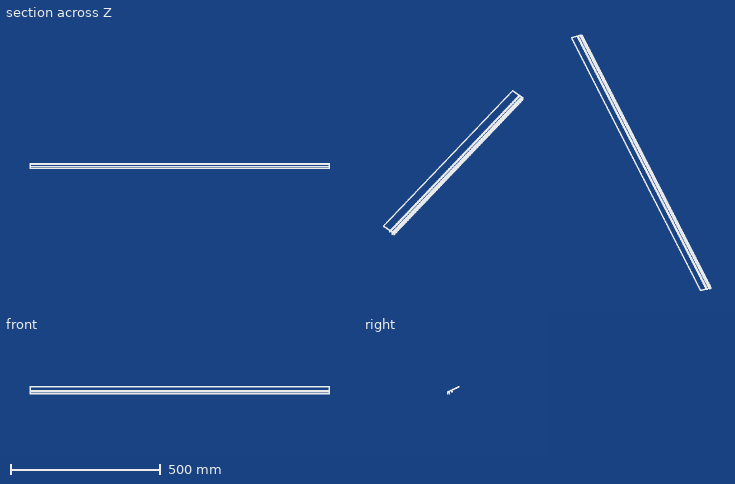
import cadquery as cq
import math

LENGTH = 1000.0
DEPTH = 39.3
HEIGHT = 24.57

SLOPE_ANGLE = math.radians(25.0)
PLATE_WALL = 1.44

LIP_WALL = 0.7
NOSE_CHAMFER = 0.36
LIP_INNER_RADIUS = 1.7

LEG_WALL = 1.55
LEG_BACK_Y = 6.6
LEG_BOTTOM_Z = 0.5

WEB_WALL = 0.89
WEB_BACK_Y = 15.12
FOOT_WALL = 1.0
FOOT_BACK_Y = 17.4
FOOT_BOTTOM_Z = 7.1

REAR_TOP_Y = DEPTH - PLATE_WALL * math.sin(SLOPE_ANGLE)
REAR_BOTTOM_Z = HEIGHT - PLATE_WALL * math.cos(SLOPE_ANGLE)
NOSE_Z = HEIGHT - REAR_TOP_Y * math.tan(SLOPE_ANGLE)


def underside_point(y):
    """Point (y, z) on the plate's lower face at depth y."""
    return y, REAR_BOTTOM_Z - (DEPTH - y) * math.tan(SLOPE_ANGLE)


def section():
    """Closed YZ outline, running from the lip's lower front corner over the plate and back underneath."""
    leg_front_y = LEG_BACK_Y - LEG_WALL
    web_front_y = WEB_BACK_Y - WEB_WALL
    foot_top_z = FOOT_BOTTOM_Z + FOOT_WALL
    plate_top = [(0, 0), (0, NOSE_Z), (REAR_TOP_Y, HEIGHT), (DEPTH, REAR_BOTTOM_Z)]
    hook = [
        underside_point(WEB_BACK_Y),
        (WEB_BACK_Y, foot_top_z),
        (FOOT_BACK_Y, foot_top_z),
        (FOOT_BACK_Y, FOOT_BOTTOM_Z),
        (web_front_y, FOOT_BOTTOM_Z),
        underside_point(web_front_y),
    ]
    leg = [
        underside_point(LEG_BACK_Y),
        (LEG_BACK_Y, LEG_BOTTOM_Z),
        (leg_front_y, LEG_BOTTOM_Z),
        underside_point(leg_front_y),
    ]
    lip_inside = [underside_point(LIP_WALL), (LIP_WALL, 0)]
    return cq.Workplane("YZ").polyline(plate_top + hook + leg + lip_inside).close()


def edge_along_x(y, z):
    """Selector for the lengthwise edge through (y, z)."""
    return cq.selectors.NearestToPointSelector((LENGTH / 2, y, z))


def finish_lip(profile):
    """Chamfer the nose and fillet the corner between the lip and the plate's underside."""
    chamfered = profile.edges(edge_along_x(0, NOSE_Z)).chamfer(NOSE_CHAMFER)
    return chamfered.edges(edge_along_x(*underside_point(LIP_WALL))).fillet(LIP_INNER_RADIUS)


result = finish_lip(section().extrude(LENGTH))